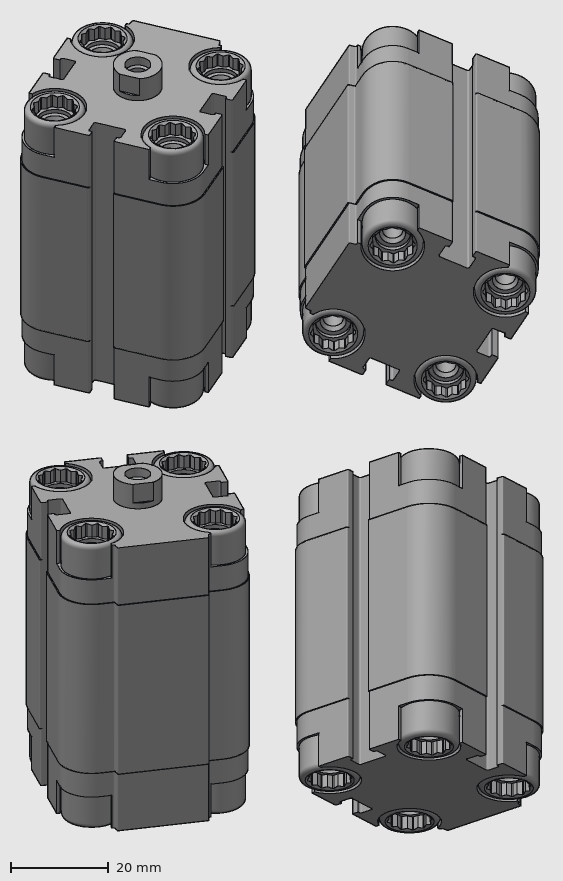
import cadquery as cq
import math

total_height = 70.0
body_height = 64.5
body_width = 40.0
half_width = body_width / 2
cap_height = 13.0
cap_inset = 0.27

screw_offset = 13.0
screw_positions = [
    (x_side * screw_offset, y_side * screw_offset)
    for x_side in (-1, 1)
    for y_side in (-1, 1)
]
corner_radius = half_width - screw_offset
screw_hole_diameter = 4.13
screw_head_diameter = 12.5
screw_head_height = 7.5
screw_head_fillet = 1.0
recess_radius = 6.5
recess_wall = 10.45

socket_rim_diameter = 10.0
socket_across_flats = 8.1
socket_lead_in_angle = 120.0
socket_tip_diameter = 9.2
socket_depth = 3.2
pocket_diameter = 7.2
pocket_depth = 4.1
countersink_diameter = 5.3
countersink_angle = 60.0

ridge_height = 1.5
ridge_crest_width = 19.2
ridge_root_width = 19.8
ridge_round = 0.25

slot_floor = 15.0
slot_lip = 18.2
slot_mouth_width = 5.4
slot_inner_width = 7.0
slot_corner_radius = 0.4
slot_mouth_round = 0.25

rod_diameter = 10.0
rod_bottom = body_height - cap_height
rod_flats = 9.0
rod_flat_length = 4.2
rod_bore_diameter = 4.13
rod_bore_depth = 12.0
rod_counterbore_diameter = 5.3
rod_counterbore_depth = 2.0
rod_countersink_angle = 120.0
drill_tip_angle = 120.0


def cone(top_diameter, bottom_diameter, full_angle, top_z):
    """Cone frustum on the Z axis that narrows downward from top_z; a zero bottom diameter gives a point."""
    height = (top_diameter - bottom_diameter) / 2 / math.tan(math.radians(full_angle / 2))
    return cq.Workplane("XY").add(
        cq.Solid.makeCone(bottom_diameter / 2, top_diameter / 2, height, cq.Vector(0, 0, top_z - height))
    )


def cylinder(diameter, bottom_z, top_z):
    """Vertical cylinder on the Z axis."""
    return cq.Workplane("XY").workplane(offset=bottom_z).circle(diameter / 2).extrude(top_z - bottom_z)


def ridge(inset, height):
    """Raised ridge with sloped sides and rounded crest edges."""
    face = half_width - inset
    crest = face + ridge_height
    root_half = ridge_root_width / 2
    crest_half = ridge_crest_width / 2
    return (
        cq.Workplane("XY")
        .moveTo(-root_half, slot_floor)
        .lineTo(-root_half, face)
        .lineTo(-crest_half, crest)
        .lineTo(crest_half, crest)
        .lineTo(root_half, face)
        .lineTo(root_half, slot_floor)
        .close()
        .extrude(height)
        .edges("|Z and >Y")
        .fillet(ridge_round)
    )


def slot_cutter(inset, height):
    """T-slot opening toward -Y, with the mouth edges rounded."""
    face = half_width - inset
    mouth = slot_mouth_width / 2
    inner = slot_inner_width / 2
    flare = mouth + slot_mouth_round
    arc_start = face - slot_mouth_round
    bend = slot_mouth_round * math.sqrt(0.5)
    undercut = (
        cq.Workplane("XY")
        .center(0, -(slot_floor + slot_lip) / 2)
        .rect(2 * inner, slot_lip - slot_floor)
        .extrude(height)
        .edges("|Z")
        .fillet(slot_corner_radius)
    )
    opening = (
        cq.Workplane("XY")
        .moveTo(-mouth, -slot_floor - slot_corner_radius)
        .lineTo(-mouth, -arc_start)
        .threePointArc((-flare + bend, -arc_start - bend), (-flare, -face))
        .lineTo(flare, -face)
        .threePointArc((flare - bend, -arc_start - bend), (mouth, -arc_start))
        .lineTo(mouth, -slot_floor - slot_corner_radius)
        .close()
        .extrude(height)
    )
    return undercut.union(opening)


def body_section(inset, bottom_z, height):
    """Length of the slotted profile, drawn in from the barrel outline by the inset."""
    width = body_width - 2 * inset
    section = (
        cq.Workplane("XY")
        .rect(width, width)
        .extrude(height)
        .edges("|Z")
        .fillet(corner_radius - inset)
        .union(ridge(inset, height))
    )
    for side in (-1, 1):
        root = (side * ridge_root_width / 2, half_width - inset, height / 2)
        section = section.edges(cq.selectors.NearestToPointSelector(root)).fillet(ridge_round)
    cutter = slot_cutter(inset, height)
    for turn in (-90, 0, 90):
        section = section.cut(cutter.rotate((0, 0, 0), (0, 0, 1), turn))
    return section.translate((0, 0, bottom_z))


def corner_recess():
    """Clearance around one upper screw head, for the +X +Y corner, with its axis at the origin."""
    floor_z = body_height - screw_head_height
    wall = recess_wall - screw_offset
    size = half_width + ridge_height - recess_wall
    corner = (
        cq.Workplane("XY")
        .workplane(offset=floor_z)
        .rect(size, size, centered=False)
        .extrude(screw_head_height)
        .translate((wall, wall, 0))
    )
    return corner.union(cylinder(2 * recess_radius, floor_z, body_height))


def screw_socket():
    """Twelve-point socket, pocket and countersink of one upper screw head."""
    corner_diameter = socket_across_flats / math.cos(math.pi / 6)
    socket_floor = body_height - socket_depth
    socket = cone(socket_rim_diameter, socket_across_flats, socket_lead_in_angle, body_height)
    tip_limit = cylinder(socket_tip_diameter, socket_floor, body_height)
    for turn in (0, 30):
        hexagon = (
            cq.Workplane("XY")
            .workplane(offset=socket_floor)
            .polygon(6, corner_diameter)
            .extrude(socket_depth)
            .rotate((0, 0, 0), (0, 0, 1), turn)
        )
        socket = socket.union(hexagon.intersect(tip_limit))
    socket = socket.union(cylinder(pocket_diameter, body_height - pocket_depth, body_height))
    return socket.union(
        cone(countersink_diameter, screw_hole_diameter, countersink_angle, body_height - pocket_depth)
    )


def screw_head():
    """One upper screw head with its rounded rim and socket, axis at the origin."""
    head = (
        cylinder(screw_head_diameter, body_height - screw_head_height, body_height)
        .faces(">Z")
        .edges()
        .fillet(screw_head_fillet)
    )
    return head.cut(screw_socket())


def both_ends(upper):
    """The upper shape together with its mirror image at the lower end."""
    lower = upper.mirror("XY", (0, 0, body_height / 2))
    return [upper, lower]


def make_housing():
    """Barrel with two end caps and four screw heads at each end."""
    barrel_height = body_height - 2 * cap_height
    housing = body_section(0, cap_height, barrel_height)
    for cap in both_ends(body_section(cap_inset, body_height - cap_height, cap_height)):
        housing = housing.union(cap)

    head_ends = both_ends(screw_head())
    recess_ends = both_ends(corner_recess())
    through_hole = cylinder(screw_hole_diameter, 0, body_height)
    for x, y in screw_positions:
        corner_turn = math.degrees(math.atan2(y, x)) - 45
        for recess, head in zip(recess_ends, head_ends):
            housing = housing.cut(recess.rotate((0, 0, 0), (0, 0, 1), corner_turn).translate((x, y, 0)))
            housing = housing.union(head.translate((x, y, 0)))
        housing = housing.cut(through_hole.translate((x, y, 0)))

    return housing.cut(cylinder(rod_diameter, rod_bottom, body_height))


def make_rod():
    """Piston rod with two wrench flats and a stepped blind bore in its end."""
    rod = cylinder(rod_diameter, rod_bottom, total_height)
    for side in (-1, 1):
        flat = (
            cq.Workplane("XY")
            .workplane(offset=total_height - rod_flat_length)
            .center(0, side * (rod_flats + rod_diameter) / 2)
            .rect(rod_diameter, rod_diameter)
            .extrude(rod_flat_length)
        )
        rod = rod.cut(flat)

    counterbore_floor = total_height - rod_counterbore_depth
    bore_floor = total_height - rod_bore_depth
    rod = rod.cut(cylinder(rod_counterbore_diameter, counterbore_floor, total_height))
    rod = rod.cut(cone(rod_counterbore_diameter, rod_bore_diameter, rod_countersink_angle, counterbore_floor))
    rod = rod.cut(cylinder(rod_bore_diameter, bore_floor, total_height))
    return rod.cut(cone(rod_bore_diameter, 0, drill_tip_angle, bore_floor))


housing = make_housing()
piston_rod = make_rod()

result = cq.Compound.makeCompound([housing.solids().val(), piston_rod.solids().val()])